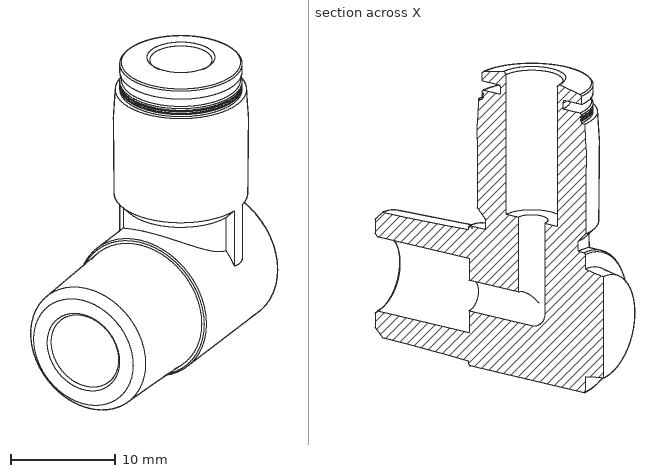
import cadquery as cq

passage_radius = 1.55

barrel_radius = 7.15
barrel_back = 6.35
barrel_front = -7.5
barrel_edge_chamfer = 0.15
back_boss_end = 8.48
back_boss_base_radius = 5.52
back_boss_end_radius = 5.18

male_end = -18.5
male_base_radius = 6.73
male_tip_radius = 6.42
male_face_radius = 5.55
male_chamfer_length = 0.9
male_bore_radius = 3.75
male_bore_depth = 11.1

tower_top = 23.7
tower_radius = 6.5
tower_lower_radius = 6.45
tower_shoulder_radius = 6.32
tower_neck_radius = 5.52
tower_neck_top = 8.18
tower_taper_bottom = 9.13
tower_taper_top = 17.25
tower_shoulder = 20.27

collar_radius = 5.9
collar_top = 21.3
collar_chamfer = 0.15
collar_groove_depth = 0.12
collar_groove_width = 0.12
collar_groove_bottoms = (20.48, 20.8)

button_stem_radius = 3.7
button_fillet_bottom = 21.87
button_fillet_radius = 3.83
button_bottom = 22.15
button_rim_top = 23.0
button_radius = 5.9
button_edge_chamfer = 0.15
socket_radius = 3.0
socket_depth = 14.5

bore_chamfer = 0.28

rib_width = 1.5


def revolve_about_z(points):
    """Solid of revolution about Z from (radius, height) points."""
    return cq.Workplane("XZ").polyline(points).close().revolve(360, (0, 0), (0, 1))


def revolve_about_y(points):
    """Solid of revolution about Y from (radius, y) points."""
    return cq.Workplane("XY").polyline(points).close().revolve(360, (0, 0), (0, 1))


def make_barrel():
    edge_radius = barrel_radius - barrel_edge_chamfer
    return revolve_about_y([
        (0, male_end),
        (male_face_radius, male_end),
        (male_tip_radius, male_end + male_chamfer_length),
        (male_base_radius, barrel_front),
        (edge_radius, barrel_front),
        (barrel_radius, barrel_front + barrel_edge_chamfer),
        (barrel_radius, barrel_back - barrel_edge_chamfer),
        (edge_radius, barrel_back),
        (back_boss_base_radius, barrel_back),
        (back_boss_end_radius, back_boss_end),
        (0, back_boss_end),
    ])


def make_tower():
    socket_mouth_radius = socket_radius + bore_chamfer
    body = revolve_about_z([
        (0, 0),
        (tower_neck_radius, 0),
        (tower_neck_radius, tower_neck_top),
        (tower_lower_radius, tower_taper_bottom),
        (tower_radius, tower_taper_top),
        (tower_shoulder_radius, tower_shoulder),
        (collar_radius, tower_shoulder),
        (collar_radius, collar_top - collar_chamfer),
        (collar_radius - collar_chamfer, collar_top),
        (button_stem_radius, collar_top),
        (button_stem_radius, button_fillet_bottom),
        (button_fillet_radius, button_bottom),
        (button_radius, button_bottom),
        (button_radius, button_rim_top),
        (button_radius - button_edge_chamfer, button_rim_top + button_edge_chamfer),
        (socket_mouth_radius, tower_top),
        (0, tower_top),
    ])
    groove_floor_radius = collar_radius - collar_groove_depth
    for groove_bottom in collar_groove_bottoms:
        groove = (
            cq.Workplane("XY", origin=(0, 0, groove_bottom))
            .circle(collar_radius + collar_groove_depth)
            .circle(groove_floor_radius)
            .extrude(collar_groove_width)
        )
        body = body.cut(groove)
    return body


def make_ribs():
    """One plate across the tower axis that shows as a rib on each side."""
    return cq.Workplane("XY").box(
        2 * tower_lower_radius, rib_width, tower_taper_bottom, centered=(True, True, False)
    ).intersect(cq.Workplane("XY").circle(tower_lower_radius).extrude(tower_taper_bottom))


def make_bores():
    """Tube socket and male bore joined by a round elbow passage."""
    socket_floor = tower_top - socket_depth
    socket = revolve_about_z([
        (0, 0),
        (passage_radius, 0),
        (passage_radius, socket_floor),
        (socket_radius, socket_floor),
        (socket_radius, tower_top - bore_chamfer),
        (socket_radius + bore_chamfer, tower_top),
        (0, tower_top),
    ])
    male_bore_floor = male_end + male_bore_depth
    male_bore = revolve_about_y([
        (0, 0),
        (passage_radius, 0),
        (passage_radius, male_bore_floor),
        (male_bore_radius, male_bore_floor),
        (male_bore_radius, male_end + bore_chamfer),
        (male_bore_radius + bore_chamfer, male_end),
        (0, male_end),
    ])
    elbow = cq.Workplane("XY").sphere(passage_radius)
    return socket.union(male_bore).union(elbow)


result = make_barrel().union(make_tower()).union(make_ribs()).cut(make_bores())